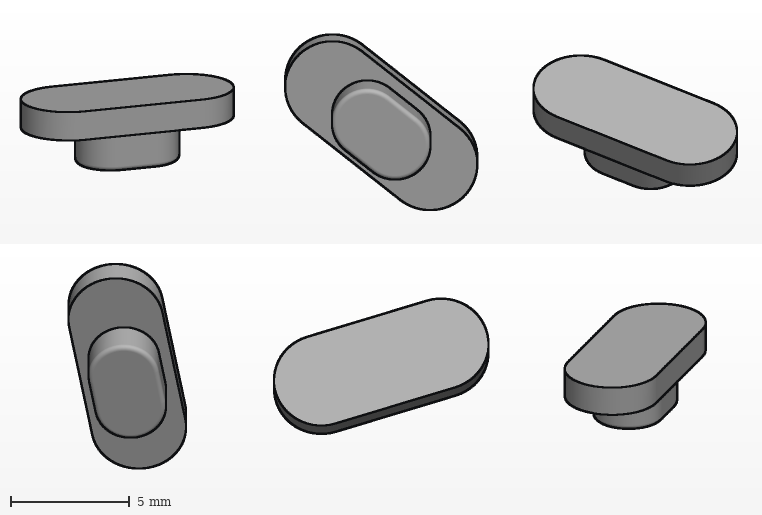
import cadquery as cq

head_width = 4.0
head_length = 9.3
head_thickness = 1.25

stem_width = 3.0
stem_length = 4.5
stem_height = 1.7
stem_edge_radius = 0.2


def stadium(length, width, height):
    """Round-ended block standing on Z = 0, with its long axis along Y."""
    return cq.Workplane("XY").slot2D(length, width, angle=90).extrude(height)


def make_stem():
    """Stem with a rounded bottom edge."""
    stem = stadium(stem_length, stem_width, stem_height)
    return stem.faces("<Z").edges().fillet(stem_edge_radius)


def make_head():
    """Plate resting on top of the stem."""
    head = stadium(head_length, head_width, head_thickness)
    return head.translate((0, 0, stem_height))


result = make_stem().union(make_head())